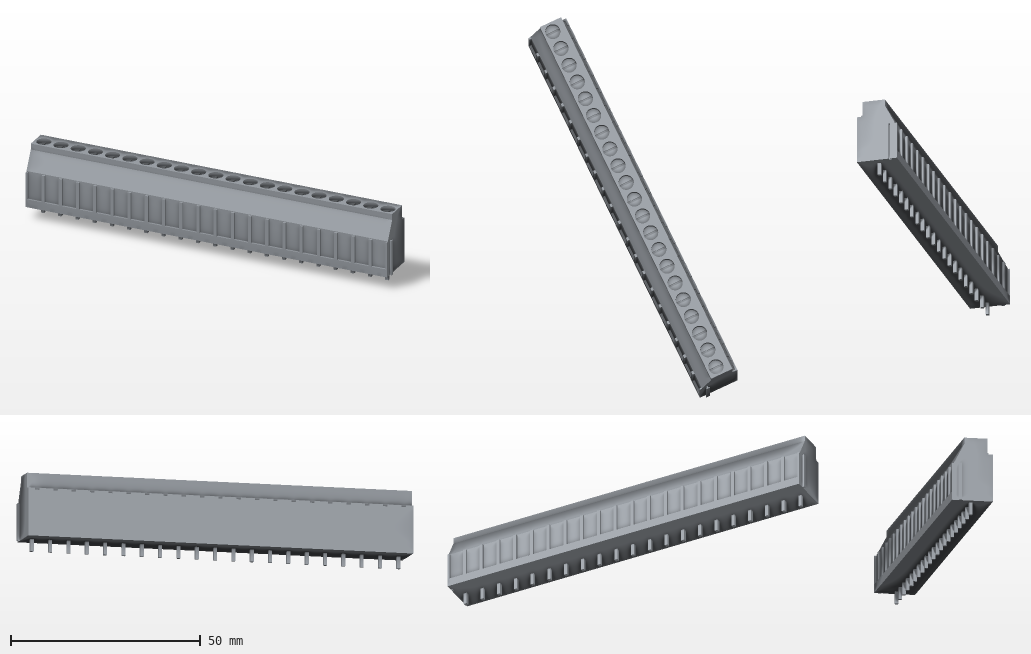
import cadquery as cq

poles = 21
pitch = 5.0
first_pole_x = 2.6
length = poles * pitch
depth = 11.0
body_height = 17.0
pin_length = 3.3

crown_back = 1.5
crown_front = 7.7
crown_lip = 1.7
ledge_drop = 4.2
ledge_step = 0.3
front_rib = 0.6
slope_end_z = 10.2
rib_top_z = 10.0

recess_width = 4.1
recess_floor_z = 2.3

ledge_recess_back = 0.55
ledge_recess_depth = 0.5
ledge_notch_width = 1.2

screw_diameter = 4.0
screw_y = -5.15
screw_recess = 1.2
slot_width = 0.55
slot_depth = 0.3

pin_width = 0.9
pin_y = -5.5

key_y = -8.9
key_projection = 0.65
key_neck_length = 0.45
key_neck_width = 0.4
key_head_width = 1.0
key_height = rib_top_z


def pole_points(y):
    """Centre of every pole at the given Y."""
    return [(first_pole_x + pole * pitch, y) for pole in range(poles)]


def box_at_poles(width, y_front, y_back, z_bottom, z_top):
    """One box per pole, centred on the pole in X."""
    return (
        cq.Workplane("XY", origin=(0, 0, z_bottom))
        .pushPoints(pole_points((y_front + y_back) / 2))
        .rect(width, y_back - y_front)
        .extrude(z_top - z_bottom)
    )


def make_body():
    ledge_z = body_height - ledge_drop
    profile = [
        (0, 0),
        (0, ledge_z),
        (-(crown_back - ledge_step), ledge_z),
        (-(crown_back - ledge_step), ledge_z + ledge_step),
        (-crown_back, ledge_z + ledge_step),
        (-crown_back, body_height),
        (-crown_front, body_height),
        (-crown_front, body_height - crown_lip),
        (-(depth - front_rib), slope_end_z),
        (-(depth - front_rib), rib_top_z),
        (-depth, rib_top_z),
        (-depth, 0),
    ]
    return cq.Workplane("YZ").polyline(profile).close().extrude(length)


def make_front_recesses():
    return box_at_poles(recess_width, -depth, -(depth - front_rib), recess_floor_z, rib_top_z)


def make_ledge_recesses():
    ledge_z = body_height - ledge_drop
    floor_z = ledge_z - ledge_recess_depth
    inner_y = -(crown_back - ledge_step)
    pockets = box_at_poles(recess_width, inner_y, -ledge_recess_back, floor_z, ledge_z)
    notches = box_at_poles(ledge_notch_width, -ledge_recess_back, 0, floor_z, ledge_z)
    return pockets.union(notches)


def screw_columns(z_bottom):
    """One round column per screw, from z_bottom up to the top of the body."""
    return (
        cq.Workplane("XY", origin=(0, 0, z_bottom))
        .pushPoints(pole_points(screw_y))
        .circle(screw_diameter / 2)
        .extrude(body_height - z_bottom)
    )


def make_screw_recesses():
    """Round wells down to the screw heads, plus the driver slot across each head."""
    head_z = body_height - screw_recess
    slot_floor_z = head_z - slot_depth
    radius = screw_diameter / 2
    slots = box_at_poles(slot_width, screw_y - radius, screw_y + radius, slot_floor_z, head_z)
    return screw_columns(head_z).union(screw_columns(slot_floor_z).intersect(slots))


def make_key(x):
    """Upright key with a T-shaped section, its neck starting on the plane X = x."""
    head_length = key_projection - key_neck_length
    neck = (
        cq.Workplane("XY")
        .center(x + key_neck_length / 2, key_y)
        .rect(key_neck_length, key_neck_width)
        .extrude(key_height)
    )
    head = (
        cq.Workplane("XY")
        .center(x + key_neck_length + head_length / 2, key_y)
        .rect(head_length, key_head_width)
        .extrude(key_height)
    )
    return neck.union(head)


def make_pins():
    return box_at_poles(pin_width, pin_y - pin_width / 2, pin_y + pin_width / 2, -pin_length, 0)


result = (
    make_body()
    .cut(make_front_recesses())
    .cut(make_ledge_recesses())
    .cut(make_screw_recesses())
    .cut(make_key(0))
    .union(make_key(length))
    .union(make_pins())
)